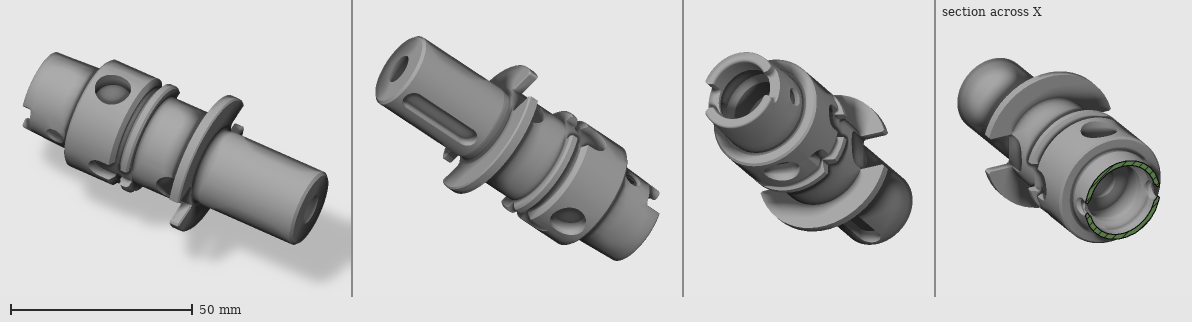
import cadquery as cq
import math


TAPER_END = 15.1
COLLAR_FRONT = 16.0
COLLAR_REAR = 35.95
DISC_FRONT = 51
DISC_REAR = 53.9
NECK_END = 55.1
SHANK_START = 56.35
TOTAL_LENGTH = 85

TAPER_END_RADIUS = 12.15
TAPER_SLOPE = 0.05
NOSE_RADIUS = TAPER_END_RADIUS - TAPER_SLOPE * TAPER_END
NOSE_ROUND = 0.6
RELIEF_RADIUS = 12.1
RELIEF_RUN = 0.3
FACE_RECESS_RADIUS = 13.0
FACE_RECESS_DEPTH = 0.3

COLLAR_RADIUS = 16.0
COLLAR_CHAMFER = 0.6
GROOVE_CENTER = 31.9
GROOVE_FLOOR_RADIUS = 13.3
GROOVE_FLOOR_WIDTH = 1.7
GROOVE_WALL_RADIUS = 14.3
GROOVE_FILLET = 0.3
GROOVE_FLANK_ANGLE = 31
GROOVE_FLANK_RUN = (COLLAR_RADIUS - GROOVE_WALL_RADIUS) * math.tan(math.radians(GROOVE_FLANK_ANGLE))

BODY_RADIUS = 13.0
DISC_RADIUS = 19.93
DISC_CHAMFER = 0.4
NECK_RADIUS = 10.7
NECK_FILLET = 0.6
FACE_UNDERCUT_RADIUS = 12.2
FACE_UNDERCUT_DEPTH = 0.25
SHANK_RADIUS = 11.0
SHANK_CHAMFER = 0.8

SOCKET_RADIUS = 8.5
SOCKET_LIP = 0.8
SOCKET_DEPTH = 21.7
UNDERCUT_START = 6.0
UNDERCUT_RADIUS = 10.24
UNDERCUT_END = 12.9
UNDERCUT_RUN = 1.7
BORE_RADIUS = 4.21
BORE_CHAMFER = 0.25

NOTCHES = [(-1, 3.0), (1, 5.0)]
NOTCH_HALF_WIDTH = 3.6
NOTCH_FLARE = 1.8
NOTCH_FLARE_START = 8.4
NOTCH_ROOT_FILLET = 0.9
NOTCH_LEAD = 0.85

CROSS_HOLE_X = 11.05
CROSS_HOLE_RADIUS = 2.0
CROSS_SINK_RADIUS = 2.8
CROSS_SINK_DEPTH = 0.8

POCKET_X = 22.95
POCKET_RADIUS = 5.0
POCKET_FLOOR = 10.6
LOWER_POCKET_TILT = 7

KEYWAY_END = 23.9
KEYWAY_RADIUS = 3.5
REAR_KEYWAY_RADIUS = 4.21
KEYWAY_FLOOR = 13.04
LOW_KEYWAY_Z = -13.1
LOW_KEYWAY_FLOOR = 9.56

DISC_SLOT_RADIUS = 5.0
DISC_SLOT_END = 43.4
DISC_SLOT_FLOOR = 11.4
DISC_CORNER_BEVEL = 0.7

SHANK_KEYWAY_START = 57.8
SHANK_KEYWAY_END = 82.8
SHANK_KEYWAY_RADIUS = 3.0
SHANK_KEYWAY_DEPTH = 3.5

OUTSIDE = DISC_RADIUS + 4.25


def revolve_about_x(profile):
    return profile.close().revolve(360, (0, 0, 0), (1, 0, 0))


def turned_body():
    """Solid of revolution without the disc, which has its own function."""
    groove_front = GROOVE_CENTER - GROOVE_FLOOR_WIDTH / 2
    groove_rear = GROOVE_CENTER + GROOVE_FLOOR_WIDTH / 2
    recess_floor = COLLAR_FRONT + FACE_RECESS_DEPTH
    corner = GROOVE_FILLET
    undercut_bottom = DISC_REAR - FACE_UNDERCUT_DEPTH
    profile = (
        cq.Workplane("XY")
        .lineTo(0, NOSE_RADIUS - NOSE_ROUND)
        .radiusArc((NOSE_ROUND, NOSE_RADIUS + TAPER_SLOPE * NOSE_ROUND), NOSE_ROUND)
        .lineTo(TAPER_END, TAPER_END_RADIUS)
        .lineTo(TAPER_END + RELIEF_RUN, RELIEF_RADIUS)
        .lineTo(recess_floor, RELIEF_RADIUS)
        .lineTo(recess_floor, FACE_RECESS_RADIUS)
        .lineTo(COLLAR_FRONT, FACE_RECESS_RADIUS)
        .lineTo(COLLAR_FRONT, COLLAR_RADIUS - COLLAR_CHAMFER)
        .lineTo(COLLAR_FRONT + COLLAR_CHAMFER, COLLAR_RADIUS)
        .lineTo(groove_front - GROOVE_FLANK_RUN, COLLAR_RADIUS)
        .lineTo(groove_front, GROOVE_WALL_RADIUS)
        .lineTo(groove_front, GROOVE_FLOOR_RADIUS + corner)
        .radiusArc((groove_front + corner, GROOVE_FLOOR_RADIUS), -corner)
        .lineTo(groove_rear - corner, GROOVE_FLOOR_RADIUS)
        .radiusArc((groove_rear, GROOVE_FLOOR_RADIUS + corner), -corner)
        .lineTo(groove_rear, GROOVE_WALL_RADIUS)
        .lineTo(groove_rear + GROOVE_FLANK_RUN, COLLAR_RADIUS)
        .lineTo(COLLAR_REAR - COLLAR_CHAMFER, COLLAR_RADIUS)
        .lineTo(COLLAR_REAR, COLLAR_RADIUS - COLLAR_CHAMFER)
        .lineTo(COLLAR_REAR, BODY_RADIUS)
        .lineTo(DISC_REAR, BODY_RADIUS)
        .lineTo(DISC_REAR, FACE_UNDERCUT_RADIUS)
        .lineTo(undercut_bottom, NECK_RADIUS + NECK_FILLET)
        .radiusArc((undercut_bottom + NECK_FILLET, NECK_RADIUS), -NECK_FILLET)
        .lineTo(NECK_END, NECK_RADIUS)
        .lineTo(SHANK_START, SHANK_RADIUS)
        .lineTo(TOTAL_LENGTH - SHANK_CHAMFER, SHANK_RADIUS)
        .lineTo(TOTAL_LENGTH, SHANK_RADIUS - SHANK_CHAMFER)
        .lineTo(TOTAL_LENGTH, 0)
    )
    return revolve_about_x(profile)


def slotted_disc():
    """Disc with two opposite slots whose outer corners are bevelled."""
    thickness = DISC_REAR - DISC_FRONT
    disc = cq.Workplane("YZ", origin=(DISC_FRONT, 0, 0)).circle(DISC_RADIUS).extrude(thickness)
    for side in (-1, 1):
        disc = disc.cut(disc_slot(side))
    corner_y = math.sqrt(DISC_RADIUS**2 - DISC_SLOT_RADIUS**2)
    for side_y in (-1, 1):
        for side_z in (-1, 1):
            bevel = (
                cq.Workplane("YZ", origin=(DISC_FRONT, side_y * corner_y, side_z * DISC_SLOT_RADIUS))
                .moveTo(-side_y * DISC_CORNER_BEVEL, 0)
                .lineTo(0, side_z * DISC_CORNER_BEVEL)
                .lineTo(0, 0)
                .close()
                .extrude(thickness)
            )
            disc = disc.cut(bevel)
    disc = disc.faces(">X").chamfer(DISC_CHAMFER)
    center = cq.Workplane("YZ", origin=(DISC_FRONT, 0, 0)).circle(BODY_RADIUS).extrude(thickness)
    return disc.cut(center)


def disc_slot(side):
    return round_ended_slot(side, DISC_SLOT_END, DISC_REAR, DISC_SLOT_RADIUS, DISC_SLOT_FLOOR)


def round_ended_slot(side, start, stop, radius, floor, z=0):
    """Cutter running along X to `stop`, round at `start`, its floor facing the given Y side."""
    outline = (
        cq.Workplane("XZ", origin=(0, side * floor, 0))
        .moveTo(stop, z + radius)
        .lineTo(start + radius, z + radius)
        .threePointArc((start, z), (start + radius, z - radius))
        .lineTo(stop, z - radius)
        .close()
    )
    return outline.extrude(-side * (OUTSIDE - floor))


def socket_and_bore():
    """Hollow of the nose with its clamping undercut, and the bore through the whole shank."""
    profile = (
        cq.Workplane("XY")
        .lineTo(0, SOCKET_RADIUS + SOCKET_LIP)
        .radiusArc((SOCKET_LIP, SOCKET_RADIUS), -SOCKET_LIP)
        .lineTo(UNDERCUT_START, SOCKET_RADIUS)
        .lineTo(UNDERCUT_START, UNDERCUT_RADIUS)
        .lineTo(UNDERCUT_END, UNDERCUT_RADIUS)
        .lineTo(UNDERCUT_END + UNDERCUT_RUN, SOCKET_RADIUS)
        .lineTo(SOCKET_DEPTH, SOCKET_RADIUS)
        .lineTo(SOCKET_DEPTH, BORE_RADIUS + BORE_CHAMFER)
        .lineTo(SOCKET_DEPTH + BORE_CHAMFER, BORE_RADIUS)
        .lineTo(TOTAL_LENGTH, BORE_RADIUS)
        .lineTo(TOTAL_LENGTH, 0)
    )
    return revolve_about_x(profile)


def drive_notch(side, depth):
    """Notch whose walls flare outwards in a quarter arc near the taper surface."""
    flare_end = NOTCH_FLARE_START + NOTCH_FLARE
    wide = NOTCH_HALF_WIDTH + NOTCH_FLARE
    bend = NOTCH_FLARE * math.sqrt(0.5)
    bend_y = NOTCH_FLARE_START + bend
    bend_z = wide - bend
    cutter = (
        cq.Workplane("YZ", origin=(-NOTCH_LEAD, 0, 0))
        .moveTo(0, -NOTCH_HALF_WIDTH)
        .lineTo(side * NOTCH_FLARE_START, -NOTCH_HALF_WIDTH)
        .threePointArc((side * bend_y, -bend_z), (side * flare_end, -wide))
        .lineTo(side * OUTSIDE, -wide)
        .lineTo(side * OUTSIDE, wide)
        .lineTo(side * flare_end, wide)
        .threePointArc((side * bend_y, bend_z), (side * NOTCH_FLARE_START, NOTCH_HALF_WIDTH))
        .lineTo(0, NOTCH_HALF_WIDTH)
        .close()
        .extrude(NOTCH_LEAD + depth)
    )
    return cutter.faces(">X").edges("|Y").fillet(NOTCH_ROOT_FILLET)


def cross_hole(side):
    """Hole through one taper wall, countersunk from outside and from the undercut."""
    surface = NOSE_RADIUS + TAPER_SLOPE * CROSS_HOLE_X
    sink_floor = surface - CROSS_SINK_DEPTH
    profile = (
        cq.Workplane("XY", origin=(CROSS_HOLE_X, 0, 0))
        .lineTo(CROSS_SINK_RADIUS, 0)
        .lineTo(CROSS_SINK_RADIUS, side * UNDERCUT_RADIUS)
        .lineTo(CROSS_HOLE_RADIUS, side * (UNDERCUT_RADIUS + CROSS_SINK_DEPTH))
        .lineTo(CROSS_HOLE_RADIUS, side * sink_floor)
        .lineTo(CROSS_SINK_RADIUS, side * surface)
        .lineTo(CROSS_SINK_RADIUS, side * OUTSIDE)
        .lineTo(0, side * OUTSIDE)
        .close()
    )
    return profile.revolve(360, (0, 0, 0), (0, 1, 0))


def collar_pocket(turn):
    """Flat-bottomed pocket in the collar, turned about X from straight up."""
    pocket = (
        cq.Workplane("XY", origin=(POCKET_X, 0, POCKET_FLOOR))
        .circle(POCKET_RADIUS)
        .extrude(OUTSIDE - POCKET_FLOOR)
    )
    return pocket.rotate((0, 0, 0), (1, 0, 0), turn)


def shank_keyway():
    length = SHANK_KEYWAY_END - SHANK_KEYWAY_START
    middle = (SHANK_KEYWAY_START + SHANK_KEYWAY_END) / 2
    return (
        cq.Workplane("XY", origin=(middle, 0, SHANK_KEYWAY_DEPTH - SHANK_RADIUS))
        .slot2D(length, 2 * SHANK_KEYWAY_RADIUS)
        .extrude(-OUTSIDE)
    )


result = turned_body().cut(socket_and_bore())
for notch_side, notch_depth in NOTCHES:
    result = result.cut(drive_notch(notch_side, notch_depth))
result = result.union(slotted_disc())
for slot_side in (-1, 1):
    result = result.cut(disc_slot(slot_side))
    result = result.cut(cross_hole(slot_side))
result = result.cut(round_ended_slot(-1, KEYWAY_END, COLLAR_REAR, KEYWAY_RADIUS, KEYWAY_FLOOR))
result = result.cut(round_ended_slot(1, KEYWAY_END, COLLAR_REAR, REAR_KEYWAY_RADIUS, KEYWAY_FLOOR))
result = result.cut(
    round_ended_slot(-1, KEYWAY_END, COLLAR_REAR, KEYWAY_RADIUS, LOW_KEYWAY_FLOOR, LOW_KEYWAY_Z)
)
result = result.cut(collar_pocket(0))
result = result.cut(collar_pocket(180 - LOWER_POCKET_TILT))
result = result.cut(shank_keyway())